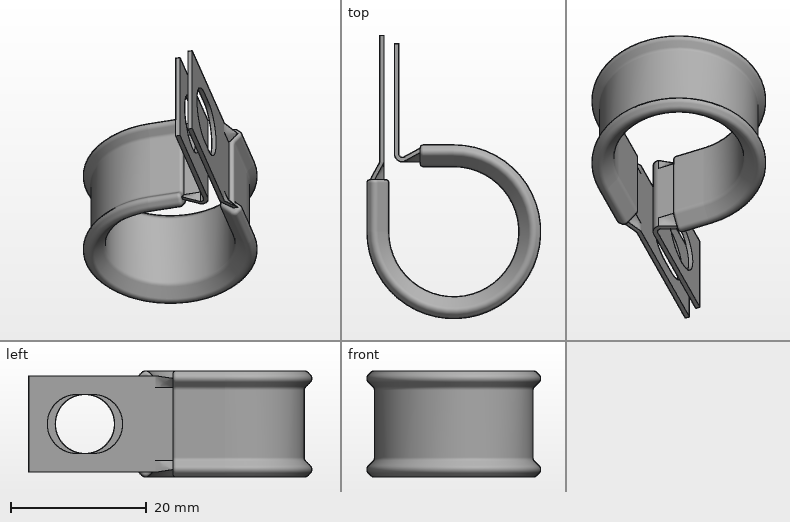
import cadquery as cq
import math

band_inner_radius = 9.55
band_outer_radius = 11.7
lip_outer_radius = 12.83
band_width = 15.65
band_half_width = band_width / 2
lip_radius = 0.75
lip_inner_bend = 1.0
lip_outer_bend = 0.7
lip_start_height = 5.25
flange_run = 7.7
bent_run = 4.97
end_rounding = 0.5

strap_thickness = 0.65
strap_outer_radius = 10.95
strap_inner_radius = strap_outer_radius - strap_thickness
strap_half_width = 7.1
flare_length = 2.55
flare_fold_height = 5.35
flare_shift = 1.38
flare_drop = 0.38
strap_embed = 1.25

long_flange_end = 28.95
bent_flange_end = 27.75
bend_outer_radius = 1.25
bend_inner_radius = bend_outer_radius - strap_thickness
hole_radius = 4.35
slot_shift = 1.2
hole_height = bent_flange_end - strap_half_width

flange_end = cq.Plane(origin=(0, flange_run, 0), xDir=(-1, 0, 0), normal=(0, 1, 0))
bent_end = cq.Plane(origin=(-bent_run, 0, 0), xDir=(0, 1, 0), normal=(-1, 0, 0))
ring_start = cq.Plane(origin=(0, 0, 0), xDir=(-1, 0, 0), normal=(0, 1, 0))


def band_corners():
    """Sharp corners (radius, height, rounding) of the upper half section, from bore to outer face."""
    tip_overhang = lip_radius * (math.sqrt(2) - 1)
    outer_tip_radius = lip_outer_radius + tip_overhang
    outer_tip_height = lip_start_height + outer_tip_radius - band_outer_radius
    inner_tip_height = band_half_width + tip_overhang
    inner_tip_radius = outer_tip_radius - (inner_tip_height - outer_tip_height)
    bore_height = inner_tip_height - (inner_tip_radius - band_inner_radius)
    return [
        (band_inner_radius, bore_height, lip_inner_bend),
        (inner_tip_radius, inner_tip_height, lip_radius),
        (outer_tip_radius, outer_tip_height, lip_radius),
        (band_outer_radius, lip_start_height, lip_outer_bend),
    ]


def band_section(plane):
    """Closed band section on the given plane with every corner rounded by a tangent arc."""
    upper = band_corners()
    corners = upper + [(r, -z, rounding) for r, z, rounding in reversed(upper)]
    outline = cq.Workplane(plane).moveTo(band_inner_radius, 0)
    for i, (r, z, rounding) in enumerate(corners):
        corner = cq.Vector(r, z)
        before = (cq.Vector(*corners[i - 1][:2]) - corner).normalized()
        after = (cq.Vector(*corners[(i + 1) % len(corners)][:2]) - corner).normalized()
        half_angle = before.getAngle(after) / 2
        setback = rounding / math.tan(half_angle)
        arc_depth = rounding / math.sin(half_angle) - rounding
        arc_start = corner + before * setback
        arc_middle = corner + (before + after).normalized() * arc_depth
        arc_end = corner + after * setback
        outline = outline.lineTo(arc_start.x, arc_start.y)
        outline = outline.threePointArc((arc_middle.x, arc_middle.y), (arc_end.x, arc_end.y))
    return outline.close()


def band():
    """Ring and its two straight runs, with rounded end faces."""
    ring = band_section(ring_start).revolve(270, (0, 0, 0), (0, 1, 0))
    flange_side = band_section(flange_end).extrude(-flange_run)
    bent_side = band_section(bent_end).extrude(-bent_run)
    flange_side = flange_side.faces(">Y").edges().fillet(end_rounding)
    bent_side = bent_side.faces("<X").edges().fillet(end_rounding)
    return ring.union(flange_side).union(bent_side)


def edge_flare(plane, side):
    """Strap edge on one side that splays from flat to the tilt of the lip it enters."""
    fold = side * flare_fold_height
    edge = side * strap_half_width
    splayed_edge = side * (strap_half_width - flare_drop)
    splayed_inner = strap_inner_radius + flare_shift
    splayed_outer = strap_outer_radius + flare_shift
    tilted = [
        (strap_inner_radius, fold),
        (strap_outer_radius, fold),
        (splayed_outer, splayed_edge),
        (splayed_inner, splayed_edge),
    ]
    flat = [
        (strap_inner_radius, fold),
        (strap_outer_radius, fold),
        (strap_outer_radius, edge),
        (strap_inner_radius, edge),
    ]
    flare = (
        cq.Workplane(plane).polyline(tilted).close()
        .workplane(offset=flare_length).polyline(flat).close()
        .loft(ruled=True)
    )
    root = cq.Workplane(plane).polyline(tilted).close().extrude(-strap_embed)
    return flare.union(root)


def strap_exit(plane):
    """Strap between a band end and its flange: a flat middle with two flared edges."""
    strap_middle = (strap_inner_radius + strap_outer_radius) / 2
    web = (
        cq.Workplane(plane).workplane(offset=-strap_embed)
        .center(strap_middle, 0)
        .rect(strap_thickness, 2 * flare_fold_height)
        .extrude(strap_embed + flare_length)
    )
    return web.union(edge_flare(plane, 1)).union(edge_flare(plane, -1))


def long_flange():
    """Flat flange in line with the strap, pierced by a slot along Y."""
    start = flange_run + flare_length
    plate = (
        cq.Workplane("XY", origin=(0, 0, -strap_half_width))
        .moveTo(-strap_outer_radius, start)
        .lineTo(-strap_inner_radius, start)
        .lineTo(-strap_inner_radius, long_flange_end)
        .lineTo(-strap_outer_radius, long_flange_end)
        .close()
        .extrude(2 * strap_half_width)
    )
    slot = (
        cq.Workplane("YZ", origin=(-strap_outer_radius, hole_height, 0))
        .slot2D(2 * (hole_radius + slot_shift), 2 * hole_radius)
        .extrude(strap_thickness)
    )
    return plate.cut(slot)


def bent_flange():
    """Flange turned up by a quarter bend, pierced by a round hole."""
    bend_x = -(bent_run + flare_length)
    bend_y = strap_inner_radius + bend_outer_radius
    outer_x = bend_x - bend_outer_radius
    inner_x = bend_x - bend_inner_radius
    plate = (
        cq.Workplane("XY", origin=(0, 0, -strap_half_width))
        .moveTo(bend_x, strap_inner_radius)
        .radiusArc((outer_x, bend_y), bend_outer_radius)
        .lineTo(outer_x, bent_flange_end)
        .lineTo(inner_x, bent_flange_end)
        .lineTo(inner_x, bend_y)
        .radiusArc((bend_x, strap_outer_radius), -bend_inner_radius)
        .close()
        .extrude(2 * strap_half_width)
    )
    hole = (
        cq.Workplane("YZ", origin=(outer_x, hole_height, 0))
        .circle(hole_radius)
        .extrude(strap_thickness)
    )
    return plate.cut(hole)


result = (
    band()
    .union(strap_exit(flange_end))
    .union(strap_exit(bent_end))
    .union(long_flange())
    .union(bent_flange())
)